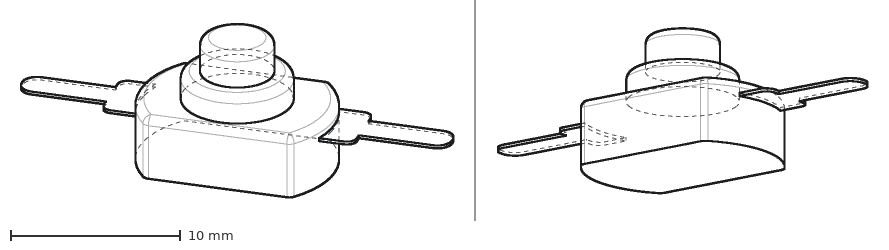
import cadquery as cq

total_length = 26.5
total_height = 8.0

housing_radius = 6.02
housing_depth = 8.0
housing_height = 4.0
edge_radius = 0.5

collar_radius = 3.35
collar_top = 5.8
plunger_radius = 2.2

terminal_thickness = 0.2
terminal_bottom = 2.97
shoulder_length = 15.58
shoulder_width = 4.08
shoulder_corner_radius = 0.6
tongue_width = 2.01
tongue_corner_radius = 0.9


def make_housing():
    disc = cq.Workplane("XY").circle(housing_radius).extrude(housing_height)
    flats = cq.Workplane("XY").box(
        2 * housing_radius, housing_depth, housing_height, centered=(True, True, False)
    )
    block = disc.intersect(flats)
    rounded_sides = block.edges("|Z and (>Y or <Y)").fillet(edge_radius)
    return rounded_sides.faces(">Z").edges().fillet(edge_radius)


def make_button_step(radius, top):
    height = top - housing_height
    step = cq.Workplane("XY").workplane(offset=housing_height).circle(radius).extrude(height)
    return step.faces(">Z").edges().fillet(edge_radius)


def make_strip(length, width, corner_radius):
    strip = cq.Workplane("XY").workplane(offset=terminal_bottom).rect(length, width)
    return strip.extrude(terminal_thickness).edges("|Z").fillet(corner_radius)


shoulders = make_strip(shoulder_length, shoulder_width, shoulder_corner_radius)
tongues = make_strip(total_length, tongue_width, tongue_corner_radius)

result = (
    make_housing()
    .union(make_button_step(collar_radius, collar_top))
    .union(make_button_step(plunger_radius, total_height))
    .union(shoulders.union(tongues))
)